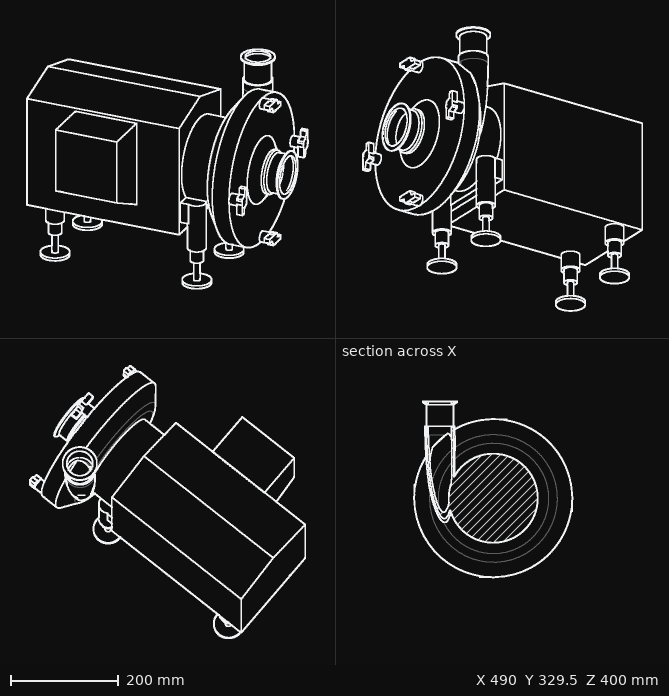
import cadquery as cq
import math


housing_length = 311
housing_half_width = 93.7
housing_bottom_z = -118
eave_z = 101
ridge_z = 126.5

box_start_x = 99
box_length = 125
box_outer_y = -182
box_top_z = 94.5
box_inner_bottom_z = -73
box_outer_bottom_z = -31

adapter_diameter = 166
casing_back_x = 375
rim_back_x = 402.8
casing_front_x = 437
casing_diameter = 294
casing_cone_angle = 51.8
casing_fillet = 26

inlet_end_x = 490
collar_start_x = 455
collar_end_x = 460.5
collar_taper_end_x = 464.5
collar_diameter = 84.3
inlet_outer_diameter = 76.3
inlet_bore_diameter = 72.3
inlet_flange_diameter = 91

outlet_x = 384
outlet_y = 99
outlet_top_z = 180
outlet_outer_diameter = 50.8
outlet_bore_diameter = 47.8
outlet_flange_diameter = 64
sleeve_diameter = 55.8
sleeve_top_z = 133.5
sleeve_bottom_z = 118
volute_middle_z = 20
volute_middle_y = 95
volute_middle_radius = 24
volute_tip_z = -45
volute_tip_y = 90
volute_tip_radius = 11

flange_edge = 2
flange_slope_length = 4

knob_count = 4
knob_circle_radius = 137
knob_diameter = 21
knob_wing_start_x = 453
knob_end_x = 464.5
wing_half_height = 9.8
wing_reach = 24.7
wing_tip_height = 8
wing_bend_reach = 12.7
wing_bend_height = 0.5
wing_root_reach = 8

ground_z = -220
foot_diameter = 55
foot_thickness = 6
leg_rod_diameter = 12
leg_sleeve_diameter = 25
leg_tube_diameter = 35
leg_sleeve_bottom_z = -174.5
leg_tube_bottom_z = -149
leg_half_spacing = 72.5
rear_leg_x = 48
front_leg_x = 337.5
front_leg_top_z = -54.5

bar_end_x = 327
bar_half_width = 88
bar_bottom_z = -94.5


def x_cylinder(diameter, start_x, end_x):
    return cq.Workplane("YZ", origin=(start_x, 0, 0)).circle(diameter / 2).extrude(end_x - start_x)


def z_cylinder(diameter, x, y, bottom_z, top_z):
    return cq.Workplane("XY", origin=(x, y, bottom_z)).circle(diameter / 2).extrude(top_z - bottom_z)


def make_housing():
    gable = [
        (-housing_half_width, housing_bottom_z),
        (housing_half_width, housing_bottom_z),
        (housing_half_width, eave_z),
        (0, ridge_z),
        (-housing_half_width, eave_z),
    ]
    return cq.Workplane("YZ").polyline(gable).close().extrude(housing_length)


def make_terminal_box():
    side = [
        (-housing_half_width, box_top_z),
        (box_outer_y, box_top_z),
        (box_outer_y, box_outer_bottom_z),
        (-housing_half_width, box_inner_bottom_z),
    ]
    return cq.Workplane("YZ", origin=(box_start_x, 0, 0)).polyline(side).close().extrude(box_length)


def make_casing():
    rim_radius = casing_diameter / 2
    cone_slope = math.tan(math.radians(casing_cone_angle))
    back_radius = rim_radius - (rim_back_x - casing_back_x) * cone_slope
    half_outline = [
        (casing_back_x, 0),
        (casing_back_x, back_radius),
        (rim_back_x, rim_radius),
        (casing_front_x, rim_radius),
        (casing_front_x, 0),
    ]
    casing = cq.Workplane("XY").polyline(half_outline).close().revolve(360, (0, 0, 0), (1, 0, 0))
    return casing.faces("<X").edges().fillet(casing_fillet)


def make_inlet():
    pipe_radius = inlet_outer_diameter / 2
    collar_radius = collar_diameter / 2
    flange_radius = inlet_flange_diameter / 2
    cone_slope = math.tan(math.radians(casing_cone_angle))
    cone_radius = collar_radius + (collar_start_x - casing_front_x) * cone_slope
    half_outline = [
        (casing_front_x, 0),
        (casing_front_x, cone_radius),
        (collar_start_x, collar_radius),
        (collar_end_x, collar_radius),
        (collar_taper_end_x, pipe_radius),
        (inlet_end_x - flange_edge - flange_slope_length, pipe_radius),
        (inlet_end_x - flange_edge, flange_radius),
        (inlet_end_x, flange_radius),
        (inlet_end_x, 0),
    ]
    body = cq.Workplane("XY").polyline(half_outline).close().revolve(360, (0, 0, 0), (1, 0, 0))
    return body.cut(x_cylinder(inlet_bore_diameter, casing_front_x, inlet_end_x))


def make_volute(inset):
    """Tapering passage from the outlet sleeve down to the casing back, drawn in by `inset`."""
    tip_x = casing_back_x + volute_tip_radius
    return (
        cq.Workplane("XY", origin=(outlet_x, outlet_y, sleeve_bottom_z))
        .circle(sleeve_diameter / 2 - inset)
        .workplane(offset=volute_middle_z - sleeve_bottom_z)
        .center(0, volute_middle_y - outlet_y)
        .circle(volute_middle_radius - inset)
        .workplane(offset=volute_tip_z - volute_middle_z)
        .center(tip_x - outlet_x, volute_tip_y - volute_middle_y)
        .circle(volute_tip_radius - inset)
        .loft()
    )


def make_outlet():
    pipe_radius = outlet_outer_diameter / 2
    sleeve_radius = sleeve_diameter / 2
    flange_radius = outlet_flange_diameter / 2
    half_outline = [
        (0, sleeve_bottom_z),
        (sleeve_radius, sleeve_bottom_z),
        (sleeve_radius, sleeve_top_z),
        (pipe_radius, sleeve_top_z),
        (pipe_radius, outlet_top_z - flange_edge - flange_slope_length),
        (flange_radius, outlet_top_z - flange_edge),
        (flange_radius, outlet_top_z),
        (0, outlet_top_z),
    ]
    pipe = cq.Workplane("XZ", origin=(outlet_x, outlet_y, 0)).polyline(half_outline).close()
    pipe = pipe.revolve(360, (0, 0, 0), (0, 1, 0))
    bore = z_cylinder(outlet_bore_diameter, outlet_x, outlet_y, sleeve_bottom_z, outlet_top_z)
    wall = (sleeve_diameter - outlet_bore_diameter) / 2
    outside = pipe.union(make_volute(0))
    return outside.cut(bore).cut(make_volute(wall))


def make_knob():
    """Knob above the pump axis: a round post with an S-shaped pair of wings."""
    tip_inner_height = wing_half_height - wing_tip_height
    outer_wing = [
        (wing_root_reach, wing_half_height),
        (-wing_reach, wing_half_height),
        (-wing_reach, tip_inner_height),
        (-wing_bend_reach, wing_bend_height),
    ]
    inner_wing = [(-reach, -height) for reach, height in outer_wing]
    wings = (
        cq.Workplane("YZ", origin=(knob_wing_start_x, 0, 0))
        .polyline(outer_wing + inner_wing)
        .close()
        .extrude(knob_end_x - knob_wing_start_x)
    )
    knob = x_cylinder(knob_diameter, casing_front_x, knob_end_x).union(wings)
    return knob.translate((0, 0, knob_circle_radius))


def make_leg(x, y, top_z):
    foot = z_cylinder(foot_diameter, x, y, ground_z, ground_z + foot_thickness)
    rod = z_cylinder(leg_rod_diameter, x, y, ground_z, leg_sleeve_bottom_z)
    sleeve = z_cylinder(leg_sleeve_diameter, x, y, leg_sleeve_bottom_z, leg_tube_bottom_z)
    tube = z_cylinder(leg_tube_diameter, x, y, leg_tube_bottom_z, top_z)
    return foot.union(rod).union(sleeve).union(tube)


def make_cross_bar():
    return cq.Workplane("XY").box(
        bar_end_x - housing_length,
        2 * bar_half_width,
        front_leg_top_z - bar_bottom_z,
        centered=(False, True, False),
    ).translate((housing_length, 0, bar_bottom_z))


result = make_housing().union(make_terminal_box())
result = result.union(x_cylinder(adapter_diameter, housing_length, casing_back_x))
result = result.union(make_outlet()).union(make_casing()).union(make_inlet())
result = result.union(make_cross_bar())

for knob_number in range(knob_count):
    knob_angle = knob_number * 360 / knob_count
    result = result.union(make_knob().rotate((0, 0, 0), (1, 0, 0), knob_angle))

for side in (-1, 1):
    leg_y = side * leg_half_spacing
    result = result.union(make_leg(rear_leg_x, leg_y, housing_bottom_z))
    result = result.union(make_leg(front_leg_x, leg_y, front_leg_top_z))